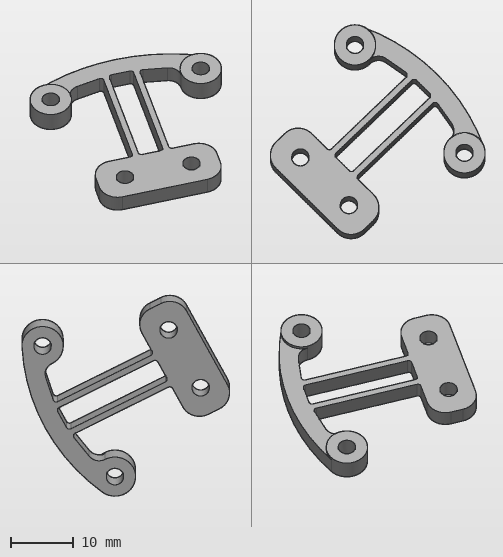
import cadquery as cq
import math

length_x = 29.02
width_y = 31.35
body_height = 3.0
pad_height = 0.5
hole_radius = 1.38

eye_radius = 3.3
eye_x = 6.02
eye_y = width_y / 2 - eye_radius
bow_inner_x = 3.05
bow_inner_tilt = math.radians(10)
eye_fillet = 2.0

beam_inner_y = 2.0
beam_width = 1.0
beam_outer_y = beam_inner_y + beam_width
beam_fillet = 0.5

plate_x = 21.0
plate_length = length_x - plate_x
plate_width = 20.0
plate_corner_radius = 3.0
plate_hole_spacing = 10.97
plate_center_x = plate_x + plate_length / 2

eye_centers = [(eye_x, eye_y), (eye_x, -eye_y)]
plate_holes = [(plate_center_x, plate_hole_spacing / 2), (plate_center_x, -plate_hole_spacing / 2)]


def cylinders(centers, radius, height):
    return cq.Workplane("XY").pushPoints(centers).circle(radius).extrude(height)


def half_bow():
    """Bow on the +Y side, running from the mirror plane to the eye center."""
    bow_radius = (eye_x**2 + eye_y**2 - eye_radius**2) / (2 * (eye_x - eye_radius))
    sweep = math.atan2(eye_y, bow_radius - eye_x)

    def on_outer_arc(angle):
        return (bow_radius * (1 - math.cos(angle)), bow_radius * math.sin(angle))

    along_x, along_y = math.sin(bow_inner_tilt), math.cos(bow_inner_tilt)
    normal_x, normal_y = along_y, -along_x
    offset_x = bow_inner_x + normal_x * eye_fillet - eye_x
    offset_y = beam_inner_y + normal_y * eye_fillet - eye_y
    offset_along = offset_x * along_x + offset_y * along_y
    offset_across = offset_x * normal_x + offset_y * normal_y
    center_distance = eye_radius + eye_fillet
    run = -offset_along - math.sqrt(center_distance**2 - offset_across**2)
    center_x = eye_x + offset_x + run * along_x
    center_y = eye_y + offset_y + run * along_y

    def on_fillet(angle):
        return (center_x + eye_fillet * math.cos(angle), center_y + eye_fillet * math.sin(angle))

    eye_angle = math.atan2(eye_y - center_y, eye_x - center_x)
    edge_angle = math.pi - bow_inner_tilt

    return (
        cq.Workplane("XY")
        .moveTo(0, 0)
        .threePointArc(on_outer_arc(sweep / 2), on_outer_arc(sweep))
        .lineTo(eye_x, eye_y)
        .lineTo(*on_fillet(eye_angle))
        .threePointArc(on_fillet((eye_angle + edge_angle) / 2), on_fillet(edge_angle))
        .lineTo(bow_inner_x, beam_inner_y)
        .lineTo(bow_inner_x, 0)
        .close()
        .extrude(body_height)
    )


def beams():
    start_x = bow_inner_x / 2
    beam_length = plate_center_x - start_x
    beam_y = beam_inner_y + beam_width / 2
    return (
        cq.Workplane("XY")
        .pushPoints([(start_x + beam_length / 2, beam_y), (start_x + beam_length / 2, -beam_y)])
        .rect(beam_length, beam_width)
        .extrude(body_height)
    )


def mounting_plate():
    return (
        cq.Workplane("XY")
        .center(plate_center_x, 0)
        .rect(plate_length, plate_width)
        .extrude(body_height)
        .edges("|Z")
        .fillet(plate_corner_radius)
    )


bow = half_bow()
body = bow.union(bow.mirror("XZ")).union(beams()).union(mounting_plate())

margin = 0.3
beam_corners = cq.selectors.BoxSelector(
    (bow_inner_x - margin, -beam_outer_y - margin, 0),
    (plate_x + margin, beam_outer_y + margin, body_height),
)
body = body.edges("|Z").edges(beam_corners).fillet(beam_fillet)

body = body.union(cylinders(eye_centers, eye_radius, body_height + pad_height))
result = body.cut(cylinders(eye_centers + plate_holes, hole_radius, body_height + pad_height))